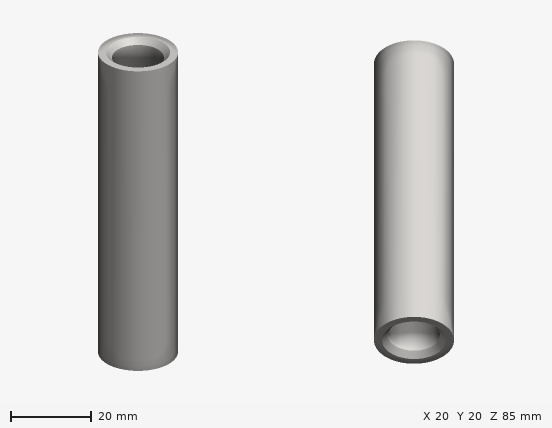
import cadquery as cq

length = 85.0
outer_diameter = 20.0
bore_diameter = 13.0
mouth_diameter = 16.0

chamfer = (mouth_diameter - bore_diameter) / 2

tube = (
    cq.Workplane("XY")
    .circle(outer_diameter / 2)
    .circle(bore_diameter / 2)
    .extrude(length)
)

bore_edges = cq.selectors.RadiusNthSelector(0)
result = tube.edges(bore_edges).chamfer(chamfer)